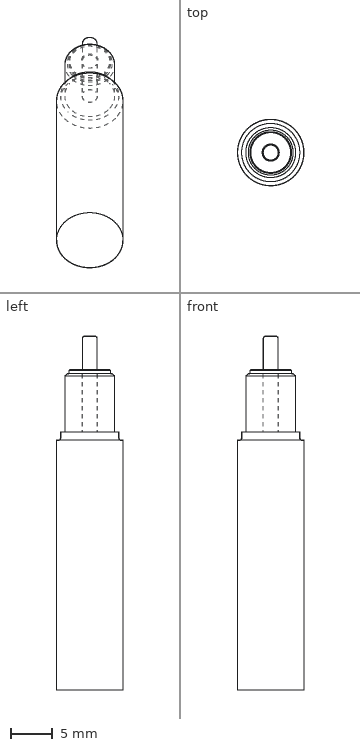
import cadquery as cq

barrel_diameter = 8.0
barrel_length = 30.0
collar_diameter = 7.0
collar_length = 1.0
collar_root_radius = 0.3
shank_diameter = 6.0
shank_length = 7.0
shank_chamfer = 0.3
nose_diameter = 5.0
nose_length = 0.5
nose_chamfer = 0.1

pin_diameter = 1.8
pin_projection = 4.0
pin_tip_radius = 0.3
pin_hole_diameter = 1.85
pin_hole_chamfer = 0.1

collar_top = barrel_length + collar_length
shank_top = collar_top + shank_length
nose_top = shank_top + nose_length

pin_hole_floor = collar_top


def cylinder(diameter, bottom, top):
    """Solid cylinder on the Z axis between two heights."""
    return cq.Workplane("XY").workplane(offset=bottom).circle(diameter / 2).extrude(top - bottom)


def build_collar_root():
    """Flared disc whose concave rim blends the collar into the barrel end."""
    collar_radius = collar_diameter / 2
    return (
        cq.Workplane("XZ")
        .moveTo(0, barrel_length)
        .lineTo(collar_radius + collar_root_radius, barrel_length)
        .radiusArc((collar_radius, barrel_length + collar_root_radius), collar_root_radius)
        .lineTo(0, barrel_length + collar_root_radius)
        .close()
        .revolve(360, (0, 0, 0), (0, 1, 0))
    )


def build_housing():
    """Stepped housing with a blind hole for the pin."""
    barrel = cylinder(barrel_diameter, 0, barrel_length)
    collar = cylinder(collar_diameter, barrel_length, collar_top)
    shank = cylinder(shank_diameter, collar_top, shank_top).faces(">Z").edges().chamfer(shank_chamfer)
    nose = cylinder(nose_diameter, shank_top, nose_top).faces(">Z").edges().chamfer(nose_chamfer)
    body = barrel.union(collar).union(build_collar_root()).union(shank).union(nose)
    pin_hole = cylinder(pin_hole_diameter, pin_hole_floor, nose_top)
    bored_body = body.cut(pin_hole)
    hole_mouth = bored_body.faces(">Z").edges(cq.selectors.RadiusNthSelector(0))
    return hole_mouth.chamfer(pin_hole_chamfer)


def build_pin():
    """Round pin resting on the floor of its hole, with a rounded tip."""
    pin = cylinder(pin_diameter, pin_hole_floor, nose_top + pin_projection)
    return pin.faces(">Z").edges().fillet(pin_tip_radius)


housing = build_housing()
pin = build_pin()
result = cq.Compound.makeCompound([housing.solids().val(), pin.solids().val()])